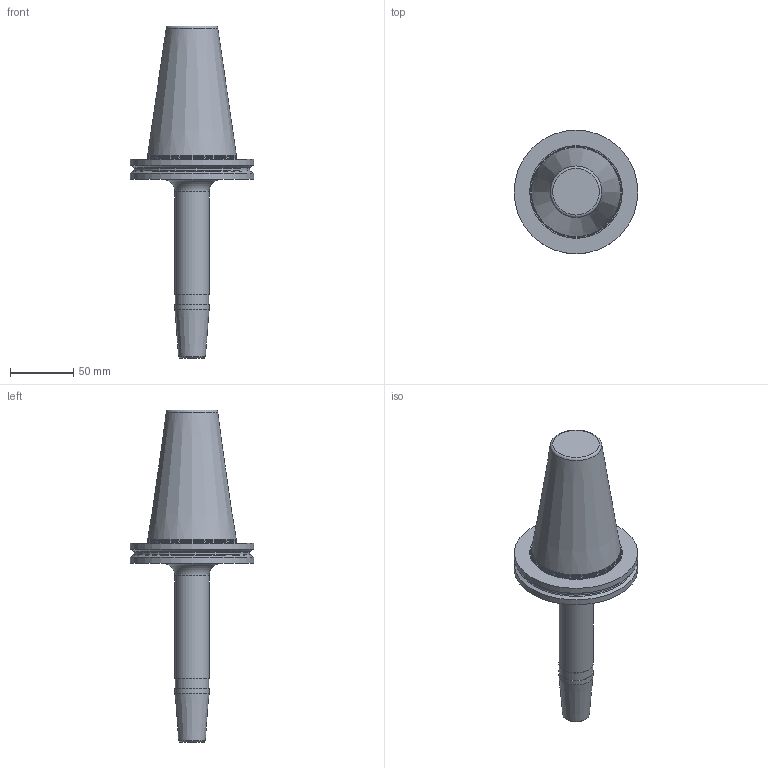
import cadquery as cq
import math

GAUGE_RADIUS = 69.85 / 2
TAPER_LENGTH = 101.75
TAPER_RATIO = 7 / 24
TAPER_TOP_RADIUS = GAUGE_RADIUS - TAPER_LENGTH * TAPER_RATIO / 2
TAPER_TOP_FILLET = 2.0

FLANGE_RADIUS = 97.5 / 2
FLANGE_TOP_Z = -3.2
FLANGE_BOTTOM_Z = -19.1
GROOVE_CENTRE_Z = -11.15
GROOVE_FLOOR_RADIUS = 91.25 / 2
GROOVE_FLOOR_WIDTH = 2.8
GROOVE_FLANK_ANGLE = 30.0
GROOVE_FILLET = 1.0

UNDERCUT_WIDTH = 2.4
UNDERCUT_DEPTH = 0.2
UNDERCUT_LEAD_IN_ANGLE = 15.0
UNDERCUT_FACE_DEPTH = 0.1
UNDERCUT_FACE_ANGLE = 8.0
UNDERCUT_FILLET = 1.0

TIP_Z = -160.0
SHANK_RADIUS = 13.5
SHANK_FILLET = 10.0
RELIEF_RADIUS = 13.2
RELIEF_TOP_Z = -110.0
RELIEF_LENGTH = 7.5
COLLAR_LENGTH = 4.0
NOSE_TIP_RADIUS = 10.5
NOSE_TIP_CHAMFER = 1.0


def revolve_outline(outline):
    """Revolve a (radius, Z) outline, closed along the axis, around Z."""
    return outline.close().revolve(360, (0, 0, 0), (0, 1, 0))


def make_taper():
    """Cone with a rounded top edge and a short straight base."""
    cone = revolve_outline(
        cq.Workplane("XZ")
        .moveTo(0, FLANGE_TOP_Z)
        .lineTo(GAUGE_RADIUS, FLANGE_TOP_Z)
        .lineTo(GAUGE_RADIUS, 0)
        .lineTo(TAPER_TOP_RADIUS, TAPER_LENGTH)
        .lineTo(0, TAPER_LENGTH)
    )
    return cone.faces(">Z").edges().fillet(TAPER_TOP_FILLET)


def make_flange():
    """Disc with a V groove whose flat floor is rounded into both flanks."""
    disc = (
        cq.Workplane("XY", origin=(0, 0, FLANGE_BOTTOM_Z))
        .circle(FLANGE_RADIUS)
        .extrude(FLANGE_TOP_Z - FLANGE_BOTTOM_Z)
    )
    half_floor = GROOVE_FLOOR_WIDTH / 2
    groove_depth = FLANGE_RADIUS - GROOVE_FLOOR_RADIUS
    half_mouth = half_floor + groove_depth * math.tan(math.radians(GROOVE_FLANK_ANGLE))
    groove = revolve_outline(
        cq.Workplane("XZ")
        .moveTo(FLANGE_RADIUS, GROOVE_CENTRE_Z - half_mouth)
        .lineTo(GROOVE_FLOOR_RADIUS, GROOVE_CENTRE_Z - half_floor)
        .lineTo(GROOVE_FLOOR_RADIUS, GROOVE_CENTRE_Z + half_floor)
        .lineTo(FLANGE_RADIUS, GROOVE_CENTRE_Z + half_mouth)
    )
    floor_edges = cq.selectors.RadiusNthSelector(0)
    return disc.cut(groove.edges(floor_edges).fillet(GROOVE_FILLET))


def make_undercut():
    """Shallow ring cut into both the taper's base and the flange's upper face."""
    neck_radius = GAUGE_RADIUS - UNDERCUT_DEPTH
    start_z = FLANGE_TOP_Z + UNDERCUT_WIDTH
    lead_in_end_z = start_z - UNDERCUT_DEPTH / math.tan(math.radians(UNDERCUT_LEAD_IN_ANGLE))
    arc_radius = neck_radius + UNDERCUT_FILLET
    arc_z = FLANGE_TOP_Z - UNDERCUT_FACE_DEPTH + UNDERCUT_FILLET

    def arc_point(degrees):
        angle = math.radians(degrees)
        return (
            arc_radius + UNDERCUT_FILLET * math.cos(angle),
            arc_z + UNDERCUT_FILLET * math.sin(angle),
        )

    ramp_radius, ramp_z = arc_point(UNDERCUT_FACE_ANGLE - 90)
    ramp_length = (FLANGE_TOP_Z - ramp_z) / math.tan(math.radians(UNDERCUT_FACE_ANGLE))
    return revolve_outline(
        cq.Workplane("XZ")
        .moveTo(GAUGE_RADIUS, start_z)
        .lineTo(neck_radius, lead_in_end_z)
        .lineTo(neck_radius, arc_z)
        .threePointArc(arc_point(-135), (ramp_radius, ramp_z))
        .lineTo(ramp_radius + ramp_length, FLANGE_TOP_Z)
        .lineTo(ramp_radius + ramp_length, start_z)
    )


def make_shank():
    """Filleted shank with a shallow relief, a short collar and a conical nose."""
    fillet_offset = SHANK_FILLET * (1 - math.sqrt(0.5))
    collar_top_z = RELIEF_TOP_Z - RELIEF_LENGTH
    shank = revolve_outline(
        cq.Workplane("XZ")
        .moveTo(0, FLANGE_BOTTOM_Z)
        .lineTo(SHANK_RADIUS + SHANK_FILLET, FLANGE_BOTTOM_Z)
        .threePointArc(
            (SHANK_RADIUS + fillet_offset, FLANGE_BOTTOM_Z - fillet_offset),
            (SHANK_RADIUS, FLANGE_BOTTOM_Z - SHANK_FILLET),
        )
        .lineTo(SHANK_RADIUS, RELIEF_TOP_Z)
        .lineTo(RELIEF_RADIUS, RELIEF_TOP_Z)
        .lineTo(RELIEF_RADIUS, collar_top_z)
        .lineTo(SHANK_RADIUS, collar_top_z)
        .lineTo(SHANK_RADIUS, collar_top_z - COLLAR_LENGTH)
        .lineTo(NOSE_TIP_RADIUS, TIP_Z)
        .lineTo(0, TIP_Z)
    )
    return shank.faces("<Z").edges().chamfer(NOSE_TIP_CHAMFER)


result = make_flange().union(make_taper()).cut(make_undercut()).union(make_shank())